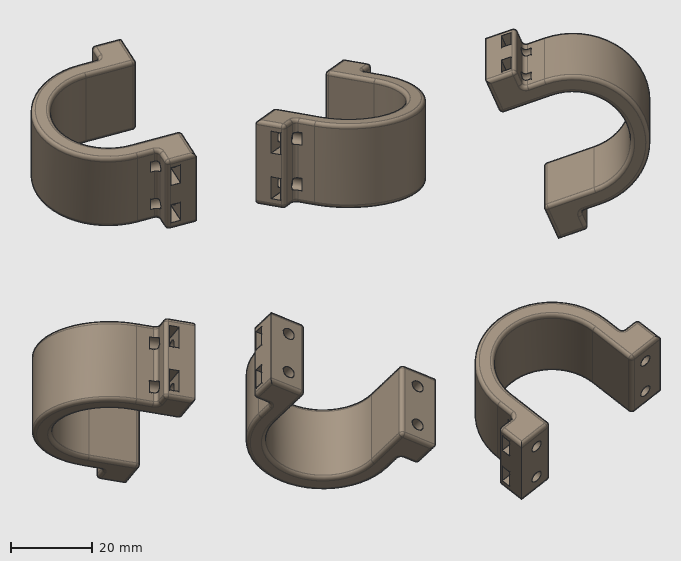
import cadquery as cq
import math

width = 48.4
height = 22.0
flange_width = 10.0
flange_depth = 8.0
wall = 4.8
leg_length = 13.5
edge_radius = 1.0
bolt_diameter = 3.2
bolt_depth = 10.0
bolt_pitch = 12.0
nut_flats = 5.7
nut_thickness = 2.5
nut_setback = 4.2

half_width = width / 2
inner_radius = half_width - flange_width
outer_radius = inner_radius + wall
flange_front = leg_length - flange_depth
bolt_x = outer_radius
nut_corner_radius = nut_flats / math.sqrt(3)
nut_mouth_x = nut_corner_radius / 2


def make_strap():
    """U-shaped strap with a flange at the end of each leg, centred on Z = 0."""
    body = (
        cq.Workplane("XY")
        .moveTo(-half_width, leg_length)
        .lineTo(-inner_radius, leg_length)
        .lineTo(-inner_radius, 0)
        .threePointArc((0, -inner_radius), (inner_radius, 0))
        .lineTo(inner_radius, leg_length)
        .lineTo(half_width, leg_length)
        .lineTo(half_width, flange_front)
        .lineTo(outer_radius, flange_front)
        .lineTo(outer_radius, 0)
        .threePointArc((0, -outer_radius), (-outer_radius, 0))
        .lineTo(-outer_radius, flange_front)
        .lineTo(-half_width, flange_front)
        .close()
        .extrude(height / 2, both=True)
    )
    rounded_corners = [
        (inner_radius, leg_length),
        (half_width, flange_front),
        (outer_radius, flange_front),
    ]
    for x, y in rounded_corners:
        for side in (-1, 1):
            corner = cq.selectors.NearestToPointSelector((side * x, y, 0))
            body = body.edges(corner).fillet(edge_radius)
    return body.faces("|Z").edges().fillet(edge_radius)


def make_bolt_hole(side, z):
    """Blind bore along Y that leaves a short groove in the strap wall."""
    start = cq.Vector(side * bolt_x, leg_length, z)
    return cq.Solid.makeCylinder(bolt_diameter / 2, bolt_depth, start, cq.Vector(0, -1, 0))


def make_nut_slot(side, z):
    """Slot open at the flange side, ending in the corner of a hexagonal nut."""
    outline = [
        (half_width, nut_flats / 2),
        (bolt_x - nut_mouth_x, nut_flats / 2),
        (bolt_x - nut_corner_radius, 0),
        (bolt_x - nut_mouth_x, -nut_flats / 2),
        (half_width, -nut_flats / 2),
    ]
    return (
        cq.Workplane("XZ", origin=(0, leg_length - nut_setback, 0))
        .polyline([(side * x, z + dz) for x, dz in outline])
        .close()
        .extrude(nut_thickness)
    )


result = make_strap()
for side in (-1, 1):
    for z in (-bolt_pitch / 2, bolt_pitch / 2):
        result = result.cut(cq.Workplane(make_bolt_hole(side, z)))
        result = result.cut(make_nut_slot(side, z))